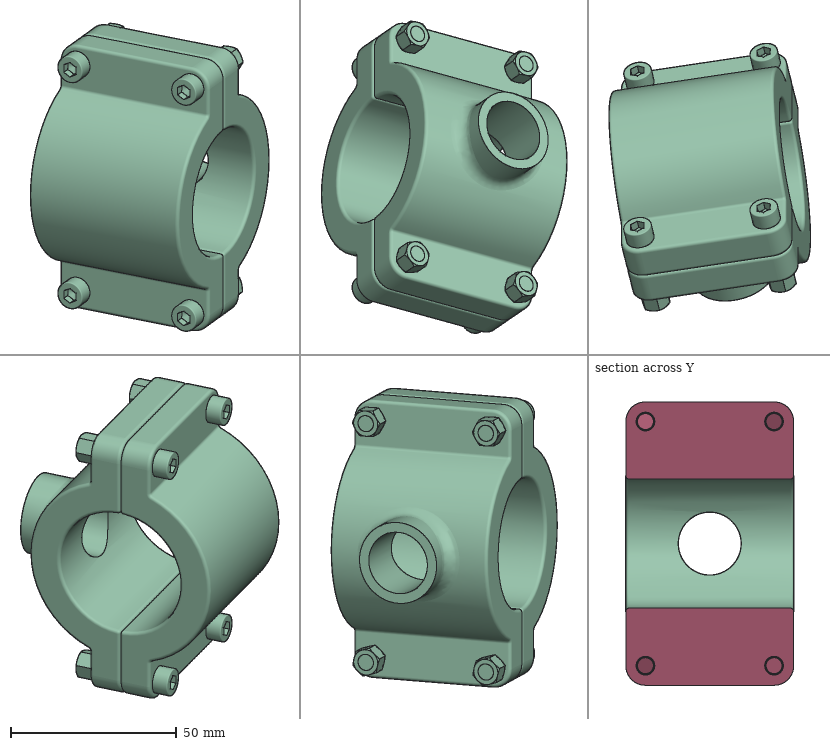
import cadquery as cq
import math

clamp_width = 51.0
clamp_height = 86.0
ring_radius = 30.0
bore_radius = 20.0
flange_thickness = 10.0
flange_corner_radius = 6.0
edge_radius = 1.0

branch_outer_diameter = 25.0
branch_bore_diameter = 19.0
branch_end = 39.0
branch_fillet_radius = 4.0

clearance_diameter = 5.5
shank_diameter = 5.0
head_diameter = 8.5
head_height = 5.0
head_edge_radius = 0.35
socket_across_flats = 4.1
socket_depth = 2.5
socket_point_angle = 120.0
bolt_x = clamp_width / 2 - flange_corner_radius
bolt_z = clamp_height / 2 - flange_corner_radius
bolt_positions = [(x, z) for x in (-bolt_x, bolt_x) for z in (-bolt_z, bolt_z)]

nut_across_flats = 7.8
nut_height = 5.7
nut_chamfer_height = 0.4
nut_face = flange_thickness + nut_height
upper_nut_angle = 1.4
lower_nut_angle = 16.7

HEXAGON_CORNER_RATIO = 1 / math.cos(math.radians(30))


def cylinder_y(diameter, start, end):
    """Cylinder on the Y axis between two Y positions."""
    return cq.Workplane("XZ", origin=(0, start, 0)).circle(diameter / 2).extrude(start - end)


def hexagon_y(across_flats, start, end):
    """Hexagonal prism on the Y axis, two of its corners on X."""
    across_corners = across_flats * HEXAGON_CORNER_RATIO
    return cq.Workplane("XZ", origin=(0, start, 0)).polygon(6, across_corners).extrude(start - end)


def make_plain_half():
    """Half ring with two flanges on the +Y side, before any holes are made."""
    half_height = clamp_height / 2
    root_z = math.sqrt(ring_radius**2 - flange_thickness**2)
    half = (
        cq.Workplane("YZ", origin=(-clamp_width / 2, 0, 0))
        .moveTo(0, half_height)
        .lineTo(flange_thickness, half_height)
        .lineTo(flange_thickness, root_z)
        .threePointArc((ring_radius, 0), (flange_thickness, -root_z))
        .lineTo(flange_thickness, -half_height)
        .lineTo(0, -half_height)
        .lineTo(0, -bore_radius)
        .threePointArc((bore_radius, 0), (0, bore_radius))
        .close()
        .extrude(clamp_width)
    )
    flange_corners = cq.selectors.BoxSelector(
        (-clamp_width, 0, -half_height - 0.9), (clamp_width, flange_thickness, half_height + 0.9)
    )
    half = half.edges("|Y").edges(flange_corners).fillet(flange_corner_radius)

    for side in (1, -1):
        root = cq.selectors.NearestToPointSelector((0, flange_thickness, side * root_z))
        half = half.edges(root).fillet(edge_radius)

    return half.faces("<X or >X or <Y").edges().fillet(edge_radius)


def add_branch(half):
    """Join the branch pipe to a half, round the joint and bore the pipe into the ring."""
    branch_start = (ring_radius + bore_radius) / 2
    branched = half.union(cylinder_y(branch_outer_diameter, branch_start, branch_end))

    reach = branch_outer_diameter / 2 + 0.9
    joint_edges = cq.selectors.BoxSelector((-reach, branch_start, -reach), (reach, ring_radius + 0.9, reach))
    branched = branched.edges(joint_edges).fillet(branch_fillet_radius)

    return branched.cut(cylinder_y(branch_bore_diameter, 0, branch_end))


def drill_flanges(half):
    """Cut the four screw clearance holes through both flanges."""
    hole = cylinder_y(clearance_diameter, -flange_thickness, flange_thickness)
    for x, z in bolt_positions:
        half = half.cut(hole.translate((x, 0, z)))
    return half


def make_socket(head_face):
    """Hexagonal socket, its floor running down to a conical point."""
    floor = head_face + socket_depth
    point_radius = socket_across_flats * HEXAGON_CORNER_RATIO / 2
    point_height = point_radius / math.tan(math.radians(socket_point_angle / 2))
    envelope = (
        cq.Workplane("XY")
        .moveTo(0, head_face)
        .lineTo(point_radius, head_face)
        .lineTo(point_radius, floor)
        .lineTo(0, floor + point_height)
        .close()
        .revolve(360, (0, 0, 0), (0, 1, 0))
    )
    return hexagon_y(socket_across_flats, head_face, floor + point_height).intersect(envelope)


def make_screw():
    """Socket head screw, its head on the front flange and its tip flush with the nut."""
    head_face = -flange_thickness - head_height
    head = cylinder_y(head_diameter, head_face, -flange_thickness)
    head = head.faces("<Y").edges().fillet(head_edge_radius)
    shank = cylinder_y(shank_diameter, -flange_thickness, nut_face)

    return head.union(shank).cut(make_socket(head_face).rotate((0, 0, 0), (0, 1, 0), 90))


def make_nut():
    """Hexagon nut on the rear flange, its corners chamfered at both ends."""
    blank = hexagon_y(nut_across_flats, flange_thickness, nut_face)
    corner_radius = nut_across_flats * HEXAGON_CORNER_RATIO / 2
    face_radius = nut_across_flats / 2
    envelope = (
        cq.Workplane("XY")
        .moveTo(0, flange_thickness)
        .lineTo(face_radius, flange_thickness)
        .lineTo(corner_radius, flange_thickness + nut_chamfer_height)
        .lineTo(corner_radius, nut_face - nut_chamfer_height)
        .lineTo(face_radius, nut_face)
        .lineTo(0, nut_face)
        .close()
        .revolve(360, (0, 0, 0), (0, 1, 0))
    )
    thread_hole = cylinder_y(shank_diameter, flange_thickness, nut_face)
    return blank.intersect(envelope).cut(thread_hole)


front_half = drill_flanges(make_plain_half().mirror("XZ"))
rear_half = drill_flanges(add_branch(make_plain_half()))

screws = []
nuts = []
for x, z in bolt_positions:
    screws.append(make_screw().translate((x, 0, z)))
    nut_angle = upper_nut_angle if z > 0 else lower_nut_angle
    nuts.append(make_nut().rotate((0, 0, 0), (0, 1, 0), nut_angle).translate((x, 0, z)))

result = cq.Compound.makeCompound([
    front_half.val(),
    rear_half.val(),
    *[screw.val() for screw in screws],
    *[nut.val() for nut in nuts],
])